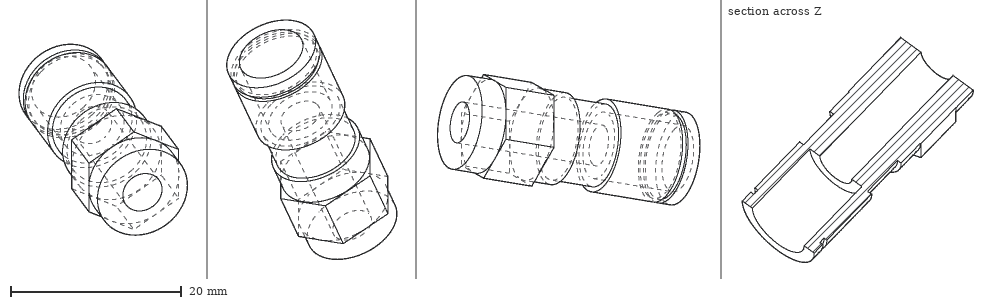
import cadquery as cq
import math

total_length = 28.96

rim_length = 1.6
groove_width = 0.7
sleeve_length = 8.2
neck_length = 5.4
collar_length = 3.5
hex_length = 6.4

sleeve_diameter = 11.05
groove_diameter = 10.2
neck_diameter = 9.85
collar_diameter = 10.95
end_diameter = 11.15

hex_across_flats = 11.1
hex_across_corners = hex_across_flats / math.cos(math.pi / 6)

socket_diameter = 7.9
socket_depth = rim_length + groove_width + sleeve_length
passage_diameter = 4.85

entry_x = -total_length / 2
hex_start = entry_x + rim_length + groove_width + sleeve_length + neck_length + collar_length
hex_end = hex_start + hex_length
end_length = total_length / 2 - hex_end


def cylinder(start_x, length, diameter):
    """Solid cylinder on the X axis, running from start_x towards +X."""
    plane = cq.Workplane("YZ", origin=(start_x, 0, 0))
    return plane.circle(diameter / 2).extrude(length)


def turned_body():
    """Stepped round body from the entry end to the hexagon."""
    steps = [
        (rim_length, sleeve_diameter),
        (groove_width, groove_diameter),
        (sleeve_length, sleeve_diameter),
        (neck_length, neck_diameter),
        (collar_length, collar_diameter),
    ]
    start_x = entry_x
    body = cq.Workplane("YZ")
    for length, diameter in steps:
        body = body.union(cylinder(start_x, length, diameter))
        start_x += length
    return body


def hexagon():
    """Spanner hexagon, turned so that two flats face along Y."""
    plane = cq.Workplane("YZ", origin=(hex_start, 0, 0)).transformed(rotate=(0, 0, 90))
    return plane.polygon(6, hex_across_corners).extrude(hex_length)


outside = turned_body().union(hexagon()).union(cylinder(hex_end, end_length, end_diameter))
socket = cylinder(entry_x, socket_depth, socket_diameter)
passage = cylinder(entry_x, total_length, passage_diameter)

result = outside.cut(socket).cut(passage)